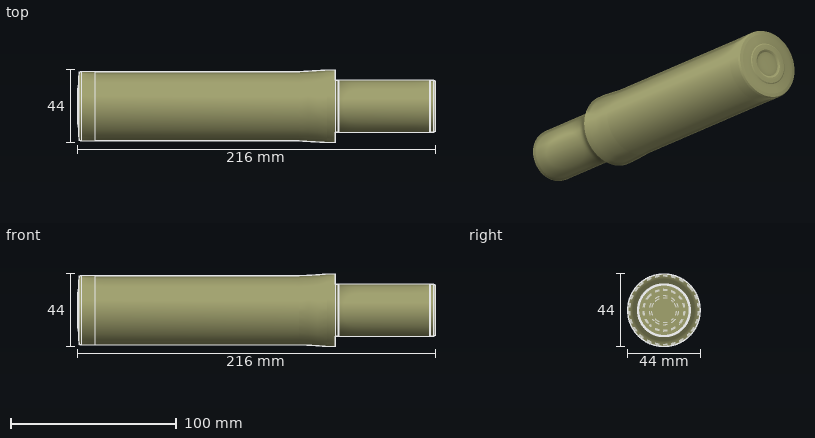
import cadquery as cq

total_length = 216.0

tube_radius = 42.0 / 2
collar_radius = 44.0 / 2
cylinder_length = 155.6
band_end = 10.6
band_radius = tube_radius + 0.1
flare_start = 133.8
flare_end = 150.7

face_rim_radius = 18.6
face_rim_depth = 0.65
rim_bevel_start = 0.9
rim_bevel_radius = 20.6
rim_bevel_end = 2.2

ring_base_radius = 12.7
ring_top_radius = 12.05
ring_crest_radius = 10.1
ring_inner_radius = 8.8
ring_floor_radius = 7.5
ring_base_depth = 0.45
ring_top_depth = 0.1
ring_floor_depth = 0.8

rod_radius = 32.0 / 2
slim_radius = 31.5 / 2
shank_start = 157.7
shank_end = 212.5
shank_bevel = 0.5
tip_chamfer_length = 1.1
tip_chamfer_height = 0.5


def turn(profile):
    """Close a half profile along the X axis and revolve it into a solid."""
    return profile.close().revolve(360, (0, 0, 0), (1, 0, 0))


cylinder = turn(
    cq.Workplane("XY")
    .moveTo(ring_floor_depth, 0)
    .lineTo(ring_floor_depth, ring_floor_radius)
    .lineTo(0, ring_inner_radius)
    .lineTo(0, ring_crest_radius)
    .lineTo(ring_top_depth, ring_top_radius)
    .lineTo(ring_base_depth, ring_base_radius)
    .lineTo(face_rim_depth, face_rim_radius)
    .lineTo(rim_bevel_start, rim_bevel_radius)
    .lineTo(rim_bevel_end, band_radius)
    .lineTo(band_end, band_radius)
    .lineTo(band_end, tube_radius)
    .lineTo(flare_start, tube_radius)
    .lineTo(flare_end, collar_radius)
    .lineTo(cylinder_length, collar_radius)
    .lineTo(cylinder_length, 0)
)

rod = turn(
    cq.Workplane("XY")
    .moveTo(cylinder_length, 0)
    .lineTo(cylinder_length, slim_radius)
    .lineTo(shank_start - shank_bevel, slim_radius)
    .lineTo(shank_start, rod_radius)
    .lineTo(shank_end, rod_radius)
    .lineTo(shank_end + shank_bevel, slim_radius)
    .lineTo(total_length - tip_chamfer_length, slim_radius)
    .lineTo(total_length, slim_radius - tip_chamfer_height)
    .lineTo(total_length, 0)
)

result = cq.Compound.makeCompound([cylinder.val(), rod.val()])